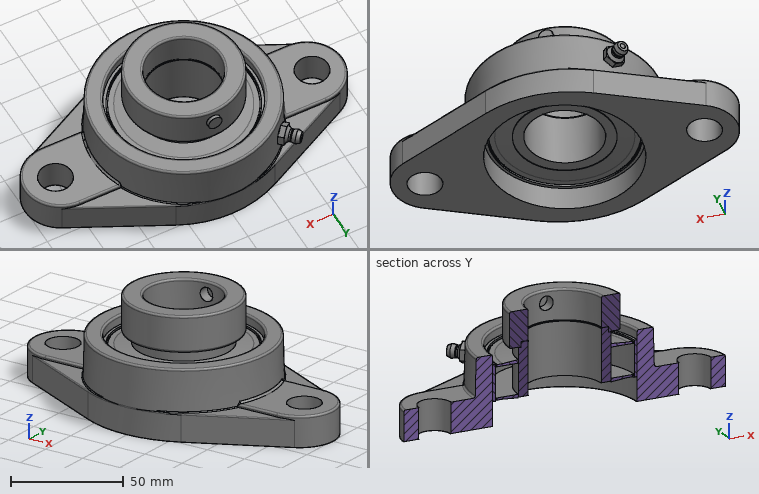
import cadquery as cq
import math

edge_fillet = 1.0

flange_length = 161.0
ear_radius = 18.0
bolt_spacing = 130.1
bolt_hole_dia = 16.0
belly_radius = 55.7
flange_width = 90.0

web_height = 13.5
web_edge_fillet = 0.5
ear_height = 15.1

boss_top_z = 34.1
boss_top_radius = 44.5
foot_fillet = 0.5
seat_dia = 72.3

outer_ring_width = 17.7
outer_ring_top_z = 29.5
outer_ring_inner_dia = 69.4
seal_face_dia = 68.0
seal_rim_depth = 0.6
seal_recess = 0.3
seal_thickness = 1.3
seal_cone_dia = 62.5
seal_cone_rise = 0.6
inner_ring_dia = 46.7
nose_dia = 44.3
nose_length = 2.5
nose_chamfer = 0.5
bore_dia = 36.5

collar_dia = 55.5
collar_bottom_z = 35.5
collar_top_z = 53.0

screw_dia = 6.8
screw_z = 46.7
screw_end_radius = 29.5
screw_length = 5.6

nipple_z = 24.2
nipple_angle = 135.0
stem_dia = 6.0
stem_length = 5.6
hex_across_corners = 10.5
hex_length = 2.9
nipple_cone_dia = 8.7
nipple_cone_end = 4.3
nipple_groove_start = 5.2
nipple_groove_end = 5.6
nipple_groove_dia = 4.5
nipple_ridge_dia = 6.8
nipple_ridge_at = 7.7
nipple_tip_dia = 5.2
nipple_tip_at = 9.7
nipple_dome_dia = 2.5
nipple_dome_rise = 0.5

belly_half_width = flange_width / 2
boss_base_radius = belly_half_width
ear_center_x = flange_length / 2 - ear_radius
belly_center_y = belly_half_width - belly_radius
outer_ring_bottom_z = outer_ring_top_z - outer_ring_width
bearing_mid_z = outer_ring_top_z - outer_ring_width / 2
nose_top_z = collar_bottom_z + nose_length


def cylinder(diameter, bottom_z, top_z):
    return cq.Workplane("XY").workplane(offset=bottom_z).circle(diameter / 2).extrude(top_z - bottom_z)


def revolved(points):
    """Solid of revolution about Z from an outline of (radius, z) points."""
    return cq.Workplane("XZ").polyline(points).close().revolve(360, (0, 0, 0), (0, 1, 0))


def flange_outline():
    """Rounded rhombus: two ear arcs and two large belly arcs joined by tangent lines."""
    center_gap = math.hypot(ear_center_x, belly_center_y)
    tilt = math.asin((belly_radius - ear_radius) / center_gap)
    normal = math.atan2(-belly_center_y, ear_center_x) + math.pi / 2 - tilt
    ear_x = ear_center_x + ear_radius * math.cos(normal)
    ear_y = ear_radius * math.sin(normal)
    belly_x = belly_radius * math.cos(normal)
    belly_y = belly_center_y + belly_radius * math.sin(normal)
    return (
        cq.Workplane("XY")
        .moveTo(ear_x, -ear_y)
        .threePointArc((flange_length / 2, 0), (ear_x, ear_y))
        .lineTo(belly_x, belly_y)
        .threePointArc((0, belly_half_width), (-belly_x, belly_y))
        .lineTo(-ear_x, ear_y)
        .threePointArc((-flange_length / 2, 0), (-ear_x, -ear_y))
        .lineTo(-belly_x, -belly_y)
        .threePointArc((0, -belly_half_width), (belly_x, -belly_y))
        .close()
    )


def make_web():
    return flange_outline().extrude(web_height).faces(">Z").edges().fillet(web_edge_fillet)


def make_foot():
    """Hollow rounding between the boss and the web, trimmed to the flange outline."""
    inner = boss_base_radius - foot_fillet
    outer = boss_base_radius + foot_fillet
    top_z = web_height + foot_fillet
    mid_shift = foot_fillet * (1 - math.sqrt(0.5))
    profile = (
        cq.Workplane("XZ")
        .moveTo(inner, web_height)
        .lineTo(outer, web_height)
        .threePointArc((boss_base_radius + mid_shift, web_height + mid_shift), (boss_base_radius, top_z))
        .lineTo(inner, top_z)
        .close()
    )
    ring = profile.revolve(360, (0, 0, 0), (0, 1, 0))
    return ring.intersect(flange_outline().offset2D(-web_edge_fillet).extrude(ear_height))


def make_boss():
    """Tapered boss, rounded at its top edge."""
    boss = revolved(
        [
            (0, 0),
            (boss_base_radius, 0),
            (boss_base_radius, web_height),
            (boss_top_radius, boss_top_z),
            (0, boss_top_z),
        ]
    )
    return boss.faces(">Z").edges().fillet(edge_fillet)


def make_boss_with_ears():
    """Boss and raised ear pads, rounded along the pad edges and where the pads meet the boss."""
    ears = (
        cq.Workplane("XY")
        .slot2D(flange_length, 2 * ear_radius)
        .extrude(ear_height)
        .intersect(flange_outline().extrude(ear_height))
    )
    half_gap = edge_fillet / 2
    pad_level = cq.selectors.BoxSelector(
        (-flange_length, -flange_width, ear_height - half_gap),
        (flange_length, flange_width, ear_height + half_gap),
    )
    return ears.union(make_boss()).edges(pad_level).fillet(edge_fillet)


def make_bolt_holes():
    return (
        cq.Workplane("XY")
        .pushPoints([(-bolt_spacing / 2, 0), (bolt_spacing / 2, 0)])
        .circle(bolt_hole_dia / 2)
        .extrude(ear_height)
    )


def make_housing():
    housing = make_web().union(make_foot()).union(make_boss_with_ears())
    housing = housing.cut(make_bolt_holes()).cut(cylinder(seat_dia, 0, boss_top_z))
    housing = housing.faces(">Z").edges(cq.selectors.RadiusNthSelector(0)).fillet(edge_fillet)
    return housing.cut(make_nipple())


def make_outer_ring():
    ring = cylinder(seat_dia, outer_ring_bottom_z, outer_ring_top_z)
    return ring.cut(cylinder(outer_ring_inner_dia, outer_ring_bottom_z, outer_ring_top_z))


def make_upper_seal():
    """Seal with a narrow step around its rim and a face that rises towards the inner ring."""
    face_z = outer_ring_top_z - seal_recess
    back_z = face_z - seal_thickness
    rim_z = face_z - seal_rim_depth
    return revolved(
        [
            (inner_ring_dia / 2, back_z),
            (outer_ring_inner_dia / 2, back_z),
            (outer_ring_inner_dia / 2, rim_z),
            (seal_face_dia / 2, rim_z),
            (seal_face_dia / 2, face_z),
            (seal_cone_dia / 2, face_z),
            (inner_ring_dia / 2, face_z + seal_cone_rise),
        ]
    )


def make_seals():
    """Two seals, mirrored about the middle of the bearing."""
    upper = make_upper_seal()
    return [upper, upper.mirror("XY", (0, 0, bearing_mid_z))]


def make_inner_ring():
    body = cylinder(inner_ring_dia, outer_ring_bottom_z, collar_bottom_z)
    nose = cylinder(nose_dia, collar_bottom_z, nose_top_z)
    ring = body.union(nose).cut(cylinder(bore_dia, outer_ring_bottom_z, nose_top_z))
    return ring.faces(">Z").edges(cq.selectors.RadiusNthSelector(0)).chamfer(nose_chamfer)


def make_screw():
    """Set screw along Y, its outer end standing proud of the collar."""
    return (
        cq.Workplane("XZ", origin=(0, screw_end_radius, screw_z))
        .circle(screw_dia / 2)
        .extrude(screw_length)
    )


def make_collar():
    collar = cylinder(collar_dia, collar_bottom_z, collar_top_z).edges().fillet(edge_fillet)
    collar = collar.cut(cylinder(bore_dia, collar_bottom_z, collar_top_z))
    collar = collar.faces(">Z").edges(cq.selectors.RadiusNthSelector(0)).fillet(edge_fillet)
    screw_hole = cq.Workplane("XZ", origin=(0, 0, screw_z)).circle(screw_dia / 2).extrude(-collar_dia)
    return collar.cut(cylinder(nose_dia, collar_bottom_z, nose_top_z)).cut(screw_hole)


def make_nipple():
    """Grease nipple built along Z from the boss face, then laid over to point outwards."""
    stem_radius = stem_dia / 2
    turned = revolved(
        [
            (0, -stem_length),
            (stem_radius, -stem_length),
            (stem_radius, hex_length),
            (nipple_cone_dia / 2, hex_length),
            (stem_radius, nipple_cone_end),
            (stem_radius, nipple_groove_start),
            (nipple_groove_dia / 2, nipple_groove_start),
            (nipple_groove_dia / 2, nipple_groove_end),
            (stem_radius, nipple_groove_end),
            (nipple_ridge_dia / 2, nipple_ridge_at),
            (nipple_tip_dia / 2, nipple_tip_at),
            (0, nipple_tip_at),
        ]
    )
    hexagon = cq.Workplane("XY").polygon(6, hex_across_corners).extrude(hex_length)
    dome_radius = ((nipple_dome_dia / 2) ** 2 + nipple_dome_rise**2) / (2 * nipple_dome_rise)
    dome_center_z = nipple_tip_at + nipple_dome_rise - dome_radius
    dome = cq.Workplane("XY").sphere(dome_radius).translate((0, 0, dome_center_z))
    return (
        turned.union(hexagon)
        .union(dome)
        .rotate((0, 0, 0), (0, 1, 0), 90)
        .translate((boss_base_radius, 0, nipple_z))
        .rotate((0, 0, 0), (0, 0, 1), nipple_angle)
    )


housing = make_housing()
outer_ring = make_outer_ring()
inner_ring = make_inner_ring()
seals = make_seals()
collar = make_collar()
screw = make_screw()
nipple = make_nipple()

result = cq.Compound.makeCompound(
    [
        housing.val(),
        outer_ring.val(),
        inner_ring.val(),
        *[seal.val() for seal in seals],
        collar.val(),
        screw.val(),
        nipple.val(),
    ]
)